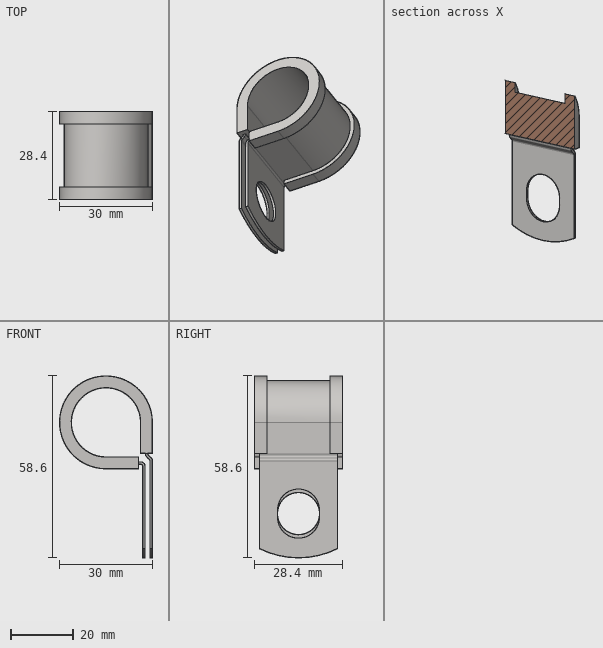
import cadquery as cq
import math


loop_width = 28.4
loop_diameter = 29.95
outer_radius = loop_diameter / 2
wall = 3.85
inner_radius = outer_radius - wall
rim_width = 4.1
groove_depth = 1.45
side_leg_end_z = -9.95
bottom_leg_end_x = 10.55

strap_thickness = 0.8
strap_width = 25.2
strap_outer = outer_radius - groove_depth
strap_middle = strap_outer - strap_thickness / 2
embed_length = 1.2
bend_inner_radius = 0.6
bend_middle_radius = bend_inner_radius + strap_thickness / 2
inner_tab_face_x = 12.6
inner_tab_x = inner_tab_face_x - strap_thickness / 2
outer_tab_x = outer_radius - strap_thickness / 2
jog_drop = 0.6
jog_angle = math.radians(45)
jog_start_z = side_leg_end_z - jog_drop
jog_end_z = jog_start_z - (outer_tab_x - strap_middle)
jog_bend_radius = 0.9

total_height = 58.6
tab_bottom_z = outer_radius - total_height
tab_edge_rise = 3.0
tab_corner_z = tab_bottom_z + tab_edge_rise
slot_travel = 1.2
hole_diameter = 13.5
slot_length = hole_diameter + 2 * slot_travel
hole_z = -29.35


def loop(outside, inside, width):
    """Three-quarter ring with straight legs running down and to the right."""
    outline = (
        cq.Workplane("XZ")
        .moveTo(outside, side_leg_end_z)
        .lineTo(outside, 0)
        .threePointArc(diagonal_point(outside), (0, -outside))
        .lineTo(bottom_leg_end_x, -outside)
        .lineTo(bottom_leg_end_x, -inside)
        .lineTo(0, -inside)
        .threePointArc(diagonal_point(inside), (inside, 0))
        .lineTo(inside, side_leg_end_z)
        .close()
    )
    return outline.extrude(width / 2, both=True)


def diagonal_point(radius):
    """Middle of the three-quarter arc, up and to the left."""
    offset = radius * math.sqrt(0.5)
    return (-offset, offset)


def inner_tab():
    """Strap leaving the bottom leg, bent a quarter turn downward."""
    bend_x = inner_tab_x - bend_middle_radius
    bend_z = -strap_middle - bend_middle_radius
    diagonal = bend_middle_radius * math.sqrt(0.5)
    path = (
        cq.Workplane("XZ")
        .moveTo(bottom_leg_end_x - embed_length, -strap_middle)
        .lineTo(bend_x, -strap_middle)
        .threePointArc((bend_x + diagonal, bend_z + diagonal), (inner_tab_x, bend_z))
        .lineTo(inner_tab_x, tab_bottom_z)
    )
    return sweep_strap(path, bottom_leg_end_x - embed_length, -strap_middle, "YZ")


def outer_tab():
    """Strap leaving the side leg, jogged outward at 45 degrees."""
    setback = jog_bend_radius * math.tan(jog_angle / 2)
    diagonal = setback * math.cos(jog_angle)
    path = (
        cq.Workplane("XZ")
        .moveTo(strap_middle, side_leg_end_z + embed_length)
        .lineTo(strap_middle, jog_start_z + setback)
        .tangentArcPoint((strap_middle + diagonal, jog_start_z - diagonal), relative=False)
        .lineTo(outer_tab_x - diagonal, jog_end_z + diagonal)
        .tangentArcPoint((outer_tab_x, jog_end_z - setback), relative=False)
        .lineTo(outer_tab_x, tab_bottom_z)
    )
    return sweep_strap(path, strap_middle, side_leg_end_z + embed_length, "XY")


def sweep_strap(path, start_x, start_z, section_plane):
    """Sweep the strap's rectangular section along its centre line."""
    section = cq.Workplane(section_plane, origin=(start_x, 0, start_z))
    if section_plane == "YZ":
        section = section.rect(strap_width, strap_thickness)
    else:
        section = section.rect(strap_thickness, strap_width)
    return section.sweep(path)


def tab_envelope():
    """Tab outline with its curved lower edge, as a block along X."""
    half_width = strap_width / 2
    return (
        cq.Workplane("YZ")
        .moveTo(-half_width, 0)
        .lineTo(-half_width, tab_corner_z)
        .threePointArc((0, tab_bottom_z), (half_width, tab_corner_z))
        .lineTo(half_width, 0)
        .close()
        .extrude(outer_radius)
    )


cushion = loop(outer_radius, inner_radius, loop_width)
groove_width = loop_width - 2 * rim_width
groove = loop(outer_radius, strap_outer, groove_width)
hole_plane = cq.Workplane("YZ").center(0, hole_z)
bolt_hole = hole_plane.circle(hole_diameter / 2).extrude(outer_radius)
bolt_slot = hole_plane.slot2D(slot_length, hole_diameter, 90).extrude(outer_radius)
trimmed_inner_tab = inner_tab().intersect(tab_envelope()).cut(bolt_hole)
trimmed_outer_tab = outer_tab().intersect(tab_envelope()).cut(bolt_slot)

result = cushion.cut(groove).union(trimmed_inner_tab).union(trimmed_outer_tab)